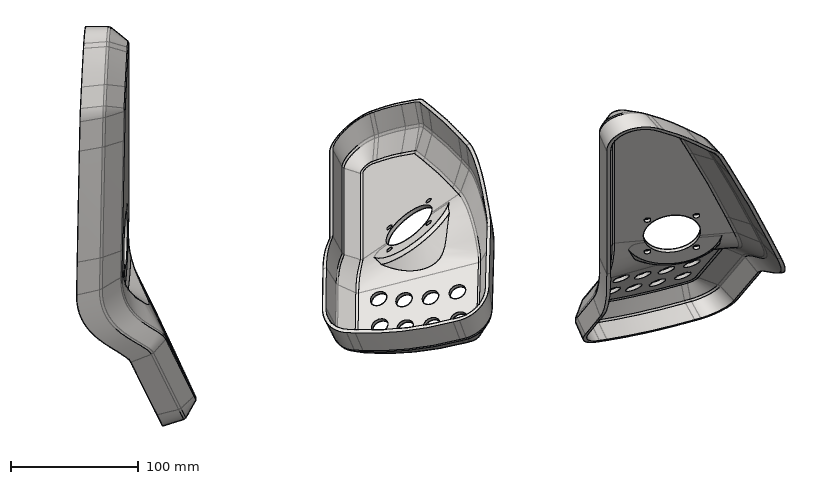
import cadquery as cq
import math

UPPER_SWING = math.radians(20.9)
LOWER_SWING = math.radians(5.3)
LOWER_LEAN = math.radians(22.9)
UPPER_PLANE = (52.3, -math.tan(UPPER_SWING), 0.0)
LOWER_PLANE = (89.0, -math.tan(LOWER_SWING), -math.tan(LOWER_LEAN))

WALL_DEPTH = 20.0
WALL_INSET = 3.0
FLOOR_DEPTH = 36.0
FLOOR_INSET = 17.0

WALL_THICKNESS = 3.0
FLOOR_THICKNESS = 3.5
INNER_WALL_DEPTH = 18.7
INNER_WALL_INSET = 6.0
INNER_FLOOR_INSET = 18.7
RIM_OVERCUT = 3.2
EASING = 1.3

UPPER_RIM = [
    (8.5, 142.5, None),
    (8.5, 337.5, 25.3),
    (64.5, 303.7, 152.0),
    (92.8, 277.0, 22.2),
    (117.2, 209.3, 1583.5),
    (137.0, 142.5, None),
]
LOWER_RIM = [
    (141.5, 77.3, None),
    (129.5, -1.0, 25.0),
    (59.2, 6.3, 253.3),
    (-5.0, 35.8, 28.8),
    (3.0, 92.0, None),
]

UPPER_LIMIT = (142.5, 0.0, 0.0)
LOWER_LIMIT = (93.5, -0.11, 0.15)

LEFT_HANDLES = (4.8, 22.2)
RIGHT_HANDLES = (36.5, 14.3)

SEAT_X = 72.0
SEAT_Z = 147.5
SEAT_RADIUS = 39.0
SEAT_TAPER = 35.0
SEAT_EASING = 2.5
SEAT_LENGTH = 38.0
SEAT_STEP = 0.05

BORE_DIAMETER = 45.0
SCREW_SPACING = 38.5
SCREW_DIAMETER = 5.0

DRAIN_DIAMETER = 13.5
DRAIN_ROWS = 2
DRAIN_COUNT = 4
DRAIN_PITCH = 22.5
DRAIN_FIRST = (39.0, 85.5)
DRAIN_ROW_STEP = (-2.2, -25.3)
DRAIN_FIRST_ANGLE = -26.5
DRAIN_TURN = 8.3

HOLE_REACH = 19.0


def on_plane(plane, x, z, depth):
    """Point at (x, z) lying the given depth behind a reference plane."""
    offset, x_slope, z_slope = plane
    return cq.Vector(x, offset + x_slope * x + z_slope * z + depth, z)


def plane_normal(plane):
    """Unit vector square to a reference plane, pointing to the back."""
    return cq.Vector(-plane[1], 1.0, -plane[2]).normalized()


def eased(rim, wall_end, floor_edge):
    """(depth, inset) levels of one skin, with a narrow flat in place of its two bevel corners."""
    along_wall = heading(rim, wall_end)
    along_bevel = heading(wall_end, floor_edge)
    return [
        rim,
        (wall_end[0] - EASING * along_wall[0], wall_end[1] - EASING * along_wall[1]),
        (wall_end[0] + EASING * along_bevel[0], wall_end[1] + EASING * along_bevel[1]),
        (floor_edge[0] - EASING * along_bevel[0], floor_edge[1] - EASING * along_bevel[1]),
        (floor_edge[0], floor_edge[1] + EASING),
    ]


def tilted(wire, plane, depth):
    """Wire of the X-Z plane pushed along Y to the given depth behind a reference plane."""
    offset, x_slope, z_slope = plane
    push = cq.Matrix([[1, 0, 0, 0], [x_slope, 1, z_slope, offset + depth], [0, 0, 1, 0]])
    return wire.transformGeometry(push)


def crossing(p, d, q, e):
    """Crossing of the line through p along d with the line through q along e."""
    t = ((q[0] - p[0]) * e[1] - (q[1] - p[1]) * e[0]) / (d[0] * e[1] - d[1] * e[0])
    return (p[0] + t * d[0], p[1] + t * d[1])


def heading(p, q):
    """Unit direction from p to q."""
    length = math.hypot(q[0] - p[0], q[1] - p[1])
    return ((q[0] - p[0]) / length, (q[1] - p[1]) / length)


def inset_corners(rim, limit, depth, inset):
    """Corners of a clockwise rim outline moved inward, with both ends on the bend limit."""
    lines = []
    for p, q in zip(rim, rim[1:]):
        d = heading(p, q)
        lines.append(((p[0] + inset * d[1], p[1] - inset * d[0]), d))
    end = ((0.0, limit[0] + limit[2] * depth), (1.0, limit[1]))
    lines = [end] + lines + [end]
    return [crossing(*a, *b) for a, b in zip(lines, lines[1:])]


def outline_wire(rim, limit, plane, depth, inset):
    """Closed rounded outline at one level of the dish."""
    corners = inset_corners(rim, limit, depth, inset)
    path = cq.Workplane("XZ").moveTo(*corners[0])
    for before, corner, after, (_, _, radius) in zip(corners, corners[1:], corners[2:], rim[1:]):
        d_in = heading(corner, before)
        d_out = heading(corner, after)
        half_angle = math.acos(d_in[0] * d_out[0] + d_in[1] * d_out[1]) / 2
        arc_radius = radius - inset
        reach = arc_radius / math.tan(half_angle)
        middle = arc_radius / math.sin(half_angle) - arc_radius
        d_middle = heading((0, 0), (d_in[0] + d_out[0], d_in[1] + d_out[1]))
        path = path.lineTo(corner[0] + reach * d_in[0], corner[1] + reach * d_in[1])
        path = path.threePointArc(
            (corner[0] + middle * d_middle[0], corner[1] + middle * d_middle[1]),
            (corner[0] + reach * d_out[0], corner[1] + reach * d_out[1]),
        )
    path = path.lineTo(*corners[-1]).close()
    return tilted(path.val(), plane, depth)


def flat_part(rim, limit, plane, skin):
    """Dish on one side of the bend, ruled through the levels of the skin."""
    wires = [outline_wire(rim, limit, plane, depth, inset) for depth, inset in skin]
    return cq.Solid.makeLoft(wires, True)


def end_point(rim, limit, plane, level, index):
    """End of the outline at one level; index 0 is its start and -1 its finish."""
    return on_plane(plane, *inset_corners(rim, limit, *level)[index], level[0])


def end_heading(rim, plane, p, q):
    """Direction on the plane from rim corner p to rim corner q."""
    return (on_plane(plane, *rim[q][:2], 0) - on_plane(plane, *rim[p][:2], 0)).normalized()


def bend_curve(level, upper_end, lower_end, handles):
    """Smooth downward curve joining the two flat parts at one level and side."""
    start = end_point(UPPER_RIM, UPPER_LIMIT, UPPER_PLANE, level, upper_end)
    finish = end_point(LOWER_RIM, LOWER_LIMIT, LOWER_PLANE, level, lower_end)
    upper_next = 1 if upper_end == 0 else -2
    lower_next = 1 if lower_end == 0 else -2
    leaving = end_heading(UPPER_RIM, UPPER_PLANE, upper_next, upper_end)
    arriving = end_heading(LOWER_RIM, LOWER_PLANE, lower_end, lower_next)
    controls = [start, start + leaving * handles[0], finish - arriving * handles[1], finish]
    return cq.Edge.makeBezier(controls)


def bend_part(skin):
    """Curved dish between the flat parts, bounded by strips ruled from curve to curve."""
    left = [bend_curve(level, 0, -1, LEFT_HANDLES) for level in skin]
    right = [bend_curve(level, -1, 0, RIGHT_HANDLES) for level in skin]
    ring = left + right[::-1]
    following = ring[1:] + ring[:1]
    faces = [cq.Face.makeRuledSurface(a, b) for a, b in zip(ring, following)]
    for end in (0, 1):
        loop = [curve.positionAt(end) for curve in ring]
        faces.append(cq.Face.makeFromWires(cq.Wire.makePolygon(loop, close=True)))
    return cq.Solid.makeSolid(cq.Shell.makeShell(faces))


def seat_cone(depth):
    """Cone opening to the back from the upper floor, clearing the space behind the seat."""
    flare = math.tan(math.radians(SEAT_TAPER))
    profile = [
        (SEAT_RADIUS - SEAT_EASING, 0.0),
        (SEAT_RADIUS + SEAT_EASING * flare, SEAT_EASING),
        (SEAT_RADIUS + SEAT_LENGTH * flare, SEAT_LENGTH),
    ]
    rings = []
    for radius, height in profile:
        circle = cq.Workplane("XZ").center(SEAT_X, SEAT_Z).circle(radius)
        rings.append(tilted(circle.wire().val(), UPPER_PLANE, depth + height))
    return cq.Solid.makeLoft(rings, True)


def filled_dish(skin):
    """Solid inside one skin of the dish; the seat only relieves the parts below the upper one."""
    body = cq.Workplane(bend_part(skin))
    body = body.cut(cq.Workplane(seat_cone(skin[-1][0] + SEAT_STEP)))
    body = body.union(cq.Workplane(flat_part(LOWER_RIM, LOWER_LIMIT, LOWER_PLANE, skin)))
    return body.union(cq.Workplane(flat_part(UPPER_RIM, UPPER_LIMIT, UPPER_PLANE, skin)))


def hole(plane, x, z, diameter):
    """Drill through the floor, square to it."""
    axis = plane_normal(plane)
    start = on_plane(plane, x, z, FLOOR_DEPTH) - axis * HOLE_REACH
    return cq.Workplane(cq.Solid.makeCylinder(diameter / 2, 2 * HOLE_REACH, start, axis))


def seat_holes():
    """Bore with four screw holes around it."""
    holes = hole(UPPER_PLANE, SEAT_X, SEAT_Z, BORE_DIAMETER)
    x_step = SCREW_SPACING / 2 * plane_normal(UPPER_PLANE).y
    z_step = SCREW_SPACING / 2
    for x_side in (-1, 1):
        for z_side in (-1, 1):
            x = SEAT_X + x_side * x_step
            z = SEAT_Z + z_side * z_step
            holes = holes.add(hole(UPPER_PLANE, x, z, SCREW_DIAMETER))
    return holes.combine()


def drain_holes():
    """Two equal rows of holes, each bending gently upward to the right."""
    holes = cq.Workplane()
    z_shrink = math.cos(LOWER_LEAN)
    for row in range(DRAIN_ROWS):
        x = DRAIN_FIRST[0] + row * DRAIN_ROW_STEP[0]
        z = DRAIN_FIRST[1] + row * DRAIN_ROW_STEP[1]
        for i in range(DRAIN_COUNT):
            holes = holes.add(hole(LOWER_PLANE, x, z, DRAIN_DIAMETER))
            angle = math.radians(DRAIN_FIRST_ANGLE + i * DRAIN_TURN)
            x += DRAIN_PITCH * math.cos(angle)
            z += DRAIN_PITCH * math.sin(angle) * z_shrink
    return holes.combine()


outer_rim = (0.0, 0.0)
outer_wall = (WALL_DEPTH, WALL_INSET)
outer_floor = (FLOOR_DEPTH, FLOOR_INSET)
outer = filled_dish(eased(outer_rim, outer_wall, outer_floor))

inner_rim = (-RIM_OVERCUT, WALL_THICKNESS - RIM_OVERCUT * WALL_INSET / WALL_DEPTH)
inner_wall = (INNER_WALL_DEPTH, INNER_WALL_INSET)
inner_floor = (FLOOR_DEPTH - FLOOR_THICKNESS, INNER_FLOOR_INSET)
inner = filled_dish(eased(inner_rim, inner_wall, inner_floor))

result = outer.cut(inner).cut(seat_holes()).cut(drain_holes())